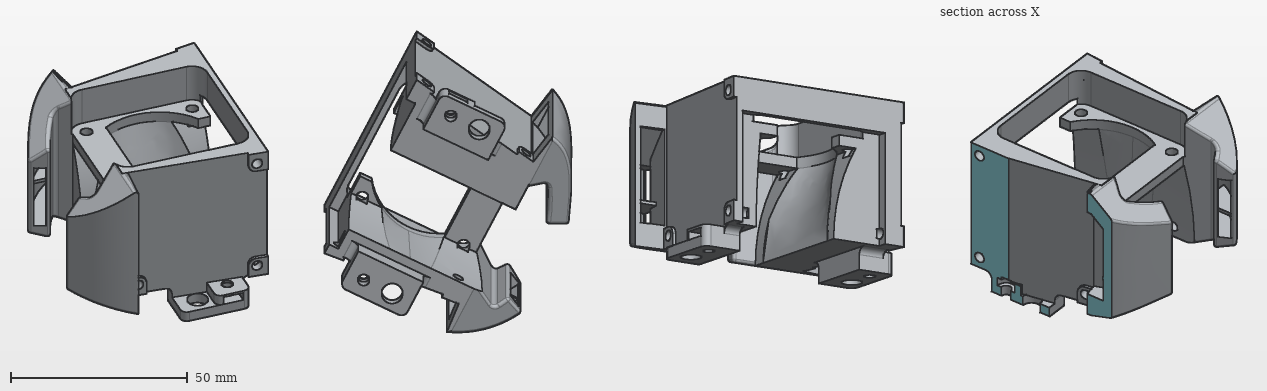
import cadquery as cq
import math

BODY_HEIGHT = 42.0
BACK_Y = 22.3
FRONT_Y = -20.1
LEFT_WALL_X = -25.85
RIGHT_WALL_X = 24.35
LEFT_WALL_ANGLE = 10.0
RIGHT_WALL_ANGLE = 5.0

POCKET_HALF = 20.4
POCKET_RADIUS = 4.6
PLATE_TOP = 30.45
PLATE_BOTTOM = 27.3
PLATE_BACK_Y = 19.4
FAN_OPENING_RADIUS = 19.0
FAN_BAR_Y = -10.1
FAN_SLOT_HALF = 10.6
FAN_SCREW_OFFSET = 16.0
FAN_SCREW_DIAMETER = 3.5
FAN_SCREW_DEPTH = 5.25
BACK_LIP_BOTTOM = 32.3
BACK_CUT_HALF = 24.3

HOLLOW_TOP_HALF = 16.2
HOLLOW_LEFT_X = -8.65
HOLLOW_RIGHT_X = 17.8
HOLLOW_FRONT_Y = -24.95
DISH_HALF_DEPTH = 16.2

PAD_SIZE = 6.05
PAD_THICKNESS = 1.0
PAD_RADIUS = 2.3
SIDE_SCREW_DIAMETER = 3.0
SIDE_SCREW_DEPTH = 6.75
SIDE_SCREW_SPACING = 35.0
SIDE_SCREW_EDGE = (BODY_HEIGHT - SIDE_SCREW_SPACING) / 2
REAR_SCREW_ALONG = 19.25

FOOT_OUTER_X = 32.3
FOOT_BACK_Y = 15.05
FOOT_FRONT_Y = -5.5
FOOT_BOTTOM = -6.5
FOOT_TOP = -3.35
FOOT_RADIUS = 2.0
STEM_FILLET = 2.1
NUT_BLOCK_FRONT_Y = 4.65
NUT_BLOCK_TOP = -0.2
FOOT_HOLE_X = 27.45
FOOT_SCREW_Y = 9.85
FOOT_SCREW_DIAMETER = 3.3
FOOT_BORE_Y = 0.85
FOOT_BORE_DIAMETER = 6.0
NUT_TRAP_WIDTH = 6.0
NUT_TRAP_HEIGHT = 2.4

TAPER_END_Y = -39.4
TAPER_END_TOP = 26.6
TAPER_END_BOTTOM = 5.4
NOZZLE_FILLET = 0.9
CREST_RADIUS = 1.65
NOZZLE_BACK_ALONG = -18.25
LEFT_ELBOW = (-19.3, -24.7)
RIGHT_ELBOW = (21.0, -27.85)
RIGHT_OUTER_MIDDLE = (28.2, -28.7)
FREE_EDGE_GAP = 0.25
ELBOW_RADIUS = 1.3
DUCT_FLOOR = 7.0
DUCT_BACK_ROOF = 35.0
DUCT_TIP_ROOF = 26.9
DUCT_TIP_ROOF_Y = -30.2
DIVIDER_BOTTOM = 14.1
DIVIDER_THICKNESS = 1.0
DIVIDER_INNER_X = 19.35
DIVIDER_BACK_Y = -24.3

FAR = 65.65
SIDES = (-1, 1)


def wall_x(side, y):
    """X of the outer face of a side wall at a given Y."""
    if side < 0:
        return LEFT_WALL_X - y * math.tan(math.radians(LEFT_WALL_ANGLE))
    return RIGHT_WALL_X + y * math.tan(math.radians(RIGHT_WALL_ANGLE))


def box(x0, x1, y0, y1, z0, z1):
    return cq.Workplane("XY").box(x1 - x0, y1 - y0, z1 - z0, centered=False).translate((x0, y0, z0))


def side_band(side, y0, y1, inner_x, z0, z1):
    """Prism between a side wall's outer plane and a plane of constant X."""
    outline = [(inner_x, y0), (wall_x(side, y0), y0), (wall_x(side, y1), y1), (inner_x, y1)]
    return cq.Workplane("XY").workplane(offset=z0).polyline(outline).close().extrude(z1 - z0)


def body_block():
    return side_band(-1, FRONT_Y, BACK_Y, 0, 0, BODY_HEIGHT).union(
        side_band(1, FRONT_Y, BACK_Y, 0, 0, BODY_HEIGHT)
    )


def fan_pocket():
    side = 2 * POCKET_HALF
    pocket = cq.Workplane("XY").rect(side, side).extrude(BODY_HEIGHT - PLATE_TOP)
    return pocket.edges("|Z").fillet(POCKET_RADIUS).translate((0, 0, PLATE_TOP))


def fan_opening():
    """Round opening, flat at the front and open to the back through a slot."""
    height = PLATE_TOP - PLATE_BOTTOM
    disc = cq.Workplane("XY").workplane(offset=PLATE_BOTTOM).circle(FAN_OPENING_RADIUS).extrude(height)
    behind_bar = box(-POCKET_HALF, POCKET_HALF, FAN_BAR_Y, BACK_Y, PLATE_BOTTOM, PLATE_TOP)
    slot = box(-FAN_SLOT_HALF, FAN_SLOT_HALF, 0, BACK_Y, PLATE_BOTTOM, PLATE_TOP)
    return disc.intersect(behind_bar).union(slot)


def fan_screw_holes():
    return (
        cq.Workplane("XY")
        .workplane(offset=PLATE_TOP - FAN_SCREW_DEPTH)
        .rect(2 * FAN_SCREW_OFFSET, 2 * FAN_SCREW_OFFSET, forConstruction=True)
        .vertices()
        .circle(FAN_SCREW_DIAMETER / 2)
        .extrude(FAN_SCREW_DEPTH)
    )


def bulge_radius(rise, run):
    """Radius of an arc that starts upright and drifts sideways by run over the rise."""
    return (rise**2 + run**2) / (2 * run)


def front_to_back_hollow():
    """Passage along Y whose curved sides stand upright at the bottom and lean to the fan plate."""
    left_radius = bulge_radius(PLATE_BOTTOM, HOLLOW_LEFT_X + HOLLOW_TOP_HALF)
    right_radius = bulge_radius(PLATE_BOTTOM, HOLLOW_RIGHT_X - HOLLOW_TOP_HALF)
    return (
        cq.Workplane("XZ", origin=(0, BACK_Y, 0))
        .moveTo(HOLLOW_LEFT_X, 0)
        .lineTo(HOLLOW_RIGHT_X, 0)
        .radiusArc((HOLLOW_TOP_HALF, PLATE_BOTTOM), -right_radius)
        .lineTo(-HOLLOW_TOP_HALF, PLATE_BOTTOM)
        .radiusArc((HOLLOW_LEFT_X, 0), left_radius)
        .close()
        .extrude(BACK_Y - HOLLOW_FRONT_Y)
    )


def dish():
    """Transition from the round fan opening to the straight-sided outlet underneath."""
    return (
        cq.Workplane("XY")
        .center((HOLLOW_LEFT_X + HOLLOW_RIGHT_X) / 2, 0)
        .rect(HOLLOW_RIGHT_X - HOLLOW_LEFT_X, 2 * DISH_HALF_DEPTH)
        .workplane(offset=PLATE_BOTTOM)
        .center(-(HOLLOW_LEFT_X + HOLLOW_RIGHT_X) / 2, 0)
        .circle(FAN_OPENING_RADIUS)
        .loft(ruled=True, combine=True)
    )


def wall_plane(side):
    """Plane on a side wall: local Y is up and the normal points out of the part."""
    angle = math.radians(LEFT_WALL_ANGLE if side < 0 else RIGHT_WALL_ANGLE)
    along = (math.sin(angle), side * math.cos(angle), 0)
    outward = (side * math.cos(angle), -math.sin(angle), 0)
    return cq.Plane(origin=(wall_x(side, 0), 0, 0), xDir=along, normal=outward)


def screw_places():
    """Along-wall and height positions, with the direction towards the middle of the wall."""
    front_along = REAR_SCREW_ALONG - SIDE_SCREW_SPACING
    top = SIDE_SCREW_EDGE + SIDE_SCREW_SPACING
    return [
        (REAR_SCREW_ALONG, SIDE_SCREW_EDGE, -1, 1),
        (REAR_SCREW_ALONG, top, -1, -1),
        (front_along, SIDE_SCREW_EDGE, 1, 1),
    ]


def screw_pad(side, along, height, inward, upward):
    """Square pad with one round corner, flush with the outer edges of the wall."""
    reach = PAD_SIZE - SIDE_SCREW_EDGE
    corner = (side * (along + inward * reach), height + upward * reach)
    outer = (side * (along - inward * SIDE_SCREW_EDGE), height - upward * SIDE_SCREW_EDGE)
    x_step = PAD_RADIUS * side * inward
    y_step = PAD_RADIUS * upward
    bend = 1 - math.sqrt(0.5)
    return (
        cq.Workplane(wall_plane(side))
        .moveTo(*outer)
        .lineTo(corner[0], outer[1])
        .lineTo(corner[0], corner[1] - y_step)
        .threePointArc(
            (corner[0] - bend * x_step, corner[1] - bend * y_step), (corner[0] - x_step, corner[1])
        )
        .lineTo(outer[0], corner[1])
        .close()
        .extrude(PAD_THICKNESS)
    )


def side_screw_hole(side, along, height):
    return (
        cq.Workplane(wall_plane(side))
        .workplane(offset=PAD_THICKNESS)
        .center(side * along, height)
        .circle(SIDE_SCREW_DIAMETER / 2)
        .extrude(-SIDE_SCREW_DEPTH)
    )


def foot(side):
    """Slab with a raised nut block, hung from the body on a flared stem."""
    inner, outer = sorted((side * POCKET_HALF, side * FOOT_OUTER_X))
    outer_edges = "|Z and >X" if side > 0 else "|Z and <X"
    slab = box(inner, outer, FOOT_FRONT_Y, FOOT_BACK_Y, FOOT_BOTTOM, FOOT_TOP)
    slab = slab.edges(outer_edges).fillet(FOOT_RADIUS)
    block = box(inner, outer, NUT_BLOCK_FRONT_Y, FOOT_BACK_Y, FOOT_TOP, NUT_BLOCK_TOP)
    block = block.edges(outer_edges + (" and >Y" if side < 0 else "")).fillet(FOOT_RADIUS)

    flare = (
        cq.Workplane("YZ", origin=(inner, 0, 0))
        .moveTo(FOOT_FRONT_Y, FOOT_TOP)
        .lineTo(FOOT_FRONT_Y, -STEM_FILLET)
        .radiusArc((FOOT_FRONT_Y - STEM_FILLET, 0), -STEM_FILLET)
        .lineTo(FOOT_BACK_Y + STEM_FILLET, 0)
        .radiusArc((FOOT_BACK_Y, -STEM_FILLET), -STEM_FILLET)
        .lineTo(FOOT_BACK_Y, FOOT_TOP)
        .close()
        .extrude(outer - inner)
    )
    stem = side_band(side, FRONT_Y, BACK_Y, side * POCKET_HALF, FOOT_TOP, 0).intersect(flare)
    return slab.union(block).union(stem)


def foot_cuts(side):
    """Screw hole, large bore and a round-ended nut trap entered from the outer side."""
    x = side * FOOT_HOLE_X
    holes = cq.Workplane("XY").workplane(offset=FOOT_BOTTOM)
    screw = holes.center(x, FOOT_SCREW_Y).circle(FOOT_SCREW_DIAMETER / 2).extrude(-FOOT_BOTTOM)
    bore = holes.center(x, FOOT_BORE_Y).circle(FOOT_BORE_DIAMETER / 2).extrude(FOOT_TOP - FOOT_BOTTOM)
    trap = (
        cq.Workplane("XY", origin=(x, FOOT_SCREW_Y, FOOT_TOP))
        .circle(NUT_TRAP_WIDTH / 2)
        .extrude(NUT_TRAP_HEIGHT)
    )
    slot_start, slot_end = sorted((x, side * FOOT_OUTER_X))
    slot = box(
        slot_start,
        slot_end,
        FOOT_SCREW_Y - NUT_TRAP_WIDTH / 2,
        FOOT_SCREW_Y + NUT_TRAP_WIDTH / 2,
        FOOT_TOP,
        FOOT_TOP + NUT_TRAP_HEIGHT,
    )
    return screw.union(bore).union(trap).union(slot)


def side_profile(points):
    """Prism across the whole width from a closed outline in Y and Z."""
    return cq.Workplane("YZ").polyline(points).close().extrude(FAR, both=True)


def nozzle_profile():
    """Full height at the body, tapering towards the tips."""
    return side_profile(
        [
            (0, 0),
            (FRONT_Y, 0),
            (TAPER_END_Y, TAPER_END_BOTTOM),
            (TAPER_END_Y, TAPER_END_TOP),
            (FRONT_Y, BODY_HEIGHT),
            (0, BODY_HEIGHT),
        ]
    )


def duct_profile():
    """Level floor and a roof that slopes down to the tip, with a divider left standing across."""
    space = side_profile(
        [
            (0, DUCT_FLOOR),
            (TAPER_END_Y, DUCT_FLOOR),
            (TAPER_END_Y, DUCT_TIP_ROOF),
            (DUCT_TIP_ROOF_Y, DUCT_TIP_ROOF),
            (FRONT_Y, DUCT_BACK_ROOF),
            (0, DUCT_BACK_ROOF),
        ]
    )
    divider_top = DIVIDER_BOTTOM + DIVIDER_THICKNESS
    divider = box(-FAR, FAR, TAPER_END_Y, DIVIDER_BACK_Y, DIVIDER_BOTTOM, divider_top)
    tip_gap = box(-DIVIDER_INNER_X, DIVIDER_INNER_X, TAPER_END_Y, 0, DIVIDER_BOTTOM, divider_top)
    return space.cut(divider.cut(tip_gap))


def left_nozzle_plan():
    return (
        cq.Workplane("XY")
        .moveTo(-21.65, -17.8)
        .lineTo(-32.7, -19.7)
        .spline([(-29.95, -25.3), (-24.15, -29.9), (-15.75, -33.9), (-10.0, -36.2)], includeCurrent=True)
        .lineTo(-7.6, -30.15)
        .threePointArc((-13.6, -27.85), LEFT_ELBOW)
        .lineTo(-15.9, -19.7)
        .close()
        .extrude(BODY_HEIGHT)
    )


def right_nozzle_plan():
    return (
        cq.Workplane("XY")
        .moveTo(21.65, -18.2)
        .lineTo(32.95, -19.2)
        .threePointArc(RIGHT_OUTER_MIDDLE, (19.4, -36.2))
        .lineTo(16.6, -30.3)
        .lineTo(*RIGHT_ELBOW)
        .lineTo(15.8, -19.7)
        .close()
        .extrude(BODY_HEIGHT)
    )


def left_duct():
    """Passage inside the left nozzle, running out through its back face and its tip."""
    return (
        cq.Workplane("XY")
        .moveTo(-23.65, -17.1)
        .lineTo(-31.25, -18.4)
        .threePointArc((-23.3, -28.5), (-9.2, -34.5))
        .lineTo(-7.2, -33.8)
        .lineTo(-5.9, -31.5)
        .lineTo(-8.55, -31.2)
        .threePointArc((-14.1, -29.0), (-20.7, -25.5))
        .close()
        .extrude(BODY_HEIGHT)
        .intersect(duct_profile())
    )


def right_duct():
    """Passage inside the right nozzle, running out through its back face and its tip."""
    return (
        cq.Workplane("XY")
        .moveTo(23.65, -17.1)
        .lineTo(31.4, -18.05)
        .threePointArc((27.5, -27.85), (19.4, -34.85))
        .lineTo(17.1, -34.8)
        .lineTo(15.75, -31.85)
        .lineTo(17.85, -31.2)
        .lineTo(21.6, -28.3)
        .close()
        .extrude(BODY_HEIGHT)
        .intersect(duct_profile())
    )


def top_back_rounding(side):
    """Sliver that rounds a nozzle's top back edge, which stands square to the side wall."""
    edge = side * NOZZLE_BACK_ALONG
    start = edge - side * NOZZLE_FILLET
    bend = NOZZLE_FILLET * math.sqrt(0.5)
    center_height = BODY_HEIGHT - NOZZLE_FILLET
    return (
        cq.Workplane(wall_plane(side))
        .moveTo(edge, BODY_HEIGHT)
        .lineTo(start, BODY_HEIGHT)
        .threePointArc((start + side * bend, center_height + bend), (edge, center_height))
        .close()
        .extrude(FOOT_OUTER_X, both=True)
    )


def crest_rounding():
    """Side profile with its sloped top blended into the level top."""
    crest = cq.selectors.NearestToPointSelector((0, FRONT_Y, BODY_HEIGHT))
    return nozzle_profile().edges("|X").edges(crest).fillet(CREST_RADIUS)


def nozzle(side, plan, elbow, sharp_edges=None):
    """Plan shape tapered to the side profile, with a round elbow and softened free edges."""
    elbow_edge = cq.selectors.NearestToPointSelector((*elbow, BODY_HEIGHT / 2))
    tapered = plan.edges(elbow_edge).fillet(ELBOW_RADIUS).intersect(nozzle_profile())
    free_edges = cq.selectors.BoxSelector((-FAR, -FAR, -FAR), (FAR, FRONT_Y - FREE_EDGE_GAP, FAR))
    if sharp_edges:
        free_edges = free_edges - sharp_edges
    rounded = tapered.edges(free_edges).fillet(NOZZLE_FILLET)
    return rounded.intersect(crest_rounding()).cut(top_back_rounding(side))


def left_nozzle():
    return nozzle(-1, left_nozzle_plan(), LEFT_ELBOW)


def right_nozzle():
    """The curved outer edge of its sloped top stays sharp."""
    outer_top_edge = cq.selectors.NearestToPointSelector((*RIGHT_OUTER_MIDDLE, BODY_HEIGHT))
    return nozzle(1, right_nozzle_plan(), RIGHT_ELBOW, outer_top_edge)


def back_cut():
    """Opens the back below the lip, leaving the side walls standing."""
    return box(-BACK_CUT_HALF, BACK_CUT_HALF, PLATE_BACK_Y, BACK_Y, 0, BACK_LIP_BOTTOM)


result = body_block()
for side in SIDES:
    result = result.union(foot(side))
    for place in screw_places():
        result = result.union(screw_pad(side, *place))
result = result.cut(box(-FAR, FAR, BACK_Y, FAR, 0, FAR))

result = result.union(left_nozzle()).union(right_nozzle())
result = result.cut(left_duct()).cut(right_duct())

for cutter in (back_cut(), fan_pocket(), fan_opening(), fan_screw_holes(), front_to_back_hollow(), dish()):
    result = result.cut(cutter)
for side in SIDES:
    result = result.cut(foot_cuts(side))
    for along, height, _, _ in screw_places():
        result = result.cut(side_screw_hole(side, along, height))